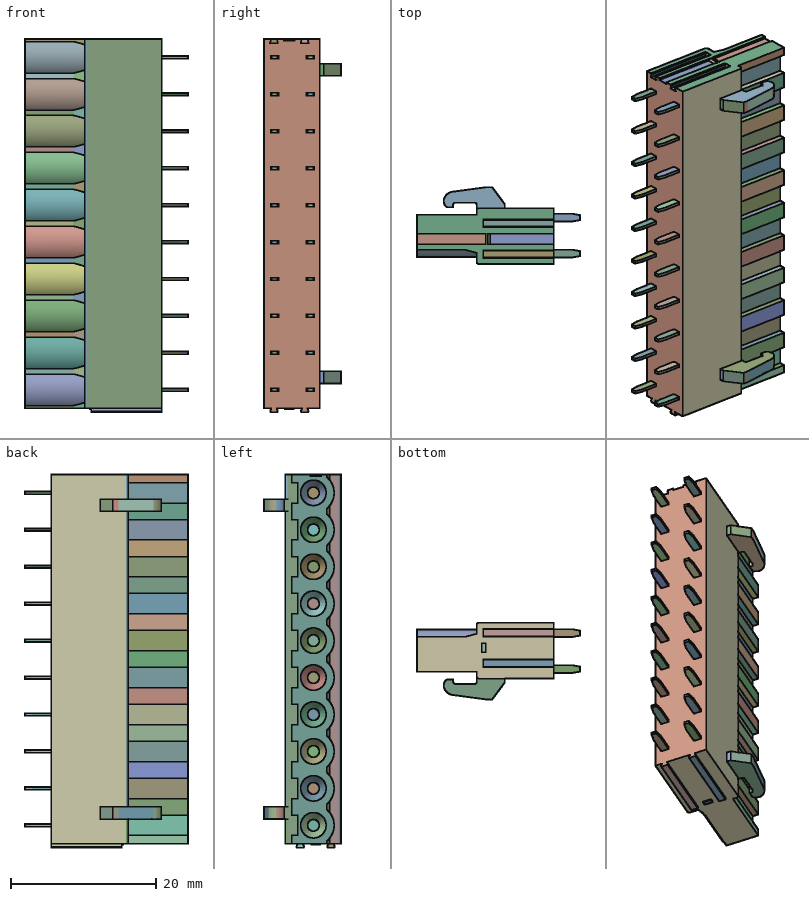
import cadquery as cq

POLES = 10
PITCH = 5.08
HEIGHT = POLES * PITCH

BLOCK_START_X = 8.2
BLOCK_END_X = 18.85
BLOCK_DEPTH = 7.7
BLOCK_CORNER_RADIUS = 0.35

SLAB_TOP_Y = 6.8
WEB_Y = 1.95
WEB_RAMP_START_X = 6.7
WEB_RAMP_END_Y = 1.55
BARREL_Y = 3.8
BARREL_RADIUS = 2.85
SOCKET_MOUTH_DIAMETER = 3.5
SOCKET_END_DIAMETER = 1.6
SOCKET_DEPTH = 2.8

NOTCH_HEIGHT = 2.8
NOTCH_FLOOR_Y = 5.97

PIN_ROWS_Y = (1.45, 6.4)
PIN_WIDTH = 1.1
PIN_THICKNESS = 0.4
PIN_END_X = 22.45
PIN_TIP_LENGTH = 1.05
PIN_TIP_WIDTH = 0.7
PIN_ROOT_EMBED = 1.0

DOVETAIL_ROWS_Y = (1.38, 5.6)
DOVETAIL_START_X = 9.1
RIB_HEIGHT = 0.55
RIB_NECK_WIDTH = 0.75
RIB_WIDTH = 1.08
RIB_FOOT_WIDTH = 0.95
RIB_WIDEST_DEPTH = 0.38
GROOVE_DEPTH = 0.6
GROOVE_WIDTH = 1.1
GROOVE_THROAT_WIDTH = 0.85
GROOVE_THROAT_DEPTH = 0.15

CHANNEL_Y = 3.45
CHANNEL_WIDTH = 1.5
CHANNEL_DEPTH = 0.27
RIDGE_START_X = 9.46
RIDGE_FLAT_END_X = 9.75
RIDGE_END_X = 10.08
BUMP_START_X = 8.92
BUMP_END_X = RIDGE_START_X
BUMP_WIDTH = 1.24
BUMP_HEIGHT = 0.15

HOOK_THICKNESS = 1.7
HOOK_END_OFFSET = 4.25
HOOK_TOP_Y = 10.6
HOOK_ROOT_X = BLOCK_START_X
HOOK_BACK_X = 12.1
HOOK_BACK_TOP_Y = 8.25
HOOK_UNDERSIDE_Y = 8.43
HOOK_INNER_RADIUS = 0.2
CREST_START_X = 9.6
CREST_END_X = 10.35
NOSE_FRONT_X = 3.7
NOSE_BACK_X = 5.0
NOSE_BACK_RADIUS = 0.3
NOSE_LOW_Y = 7.8
NOSE_LOW_X = 4.15
NOSE_LOW_RADIUS = 1.05
NOSE_FRONT_Y = 8.95
NOSE_TOP_X = 4.75
NOSE_TOP_Y = 9.95
NOSE_TOP_RADIUS = 1.6

POLE_CENTRES_Z = [PITCH * (i + 0.5) for i in range(POLES)]


def box(x0, x1, y0, y1, z0, z1):
    """Axis-aligned box between two corners."""
    return cq.Workplane("XY").box(x1 - x0, y1 - y0, z1 - z0, centered=False).translate((x0, y0, z0))


def rear_block():
    block = box(BLOCK_START_X, BLOCK_END_X, 0, BLOCK_DEPTH, 0, HEIGHT)
    return block.edges("<X and |Z").fillet(BLOCK_CORNER_RADIUS)


def plug_front():
    slab = (
        cq.Workplane("XY")
        .moveTo(0, SLAB_TOP_Y)
        .lineTo(0, WEB_Y)
        .lineTo(WEB_RAMP_START_X, WEB_Y)
        .lineTo(BLOCK_START_X, WEB_RAMP_END_Y)
        .lineTo(BLOCK_START_X, SLAB_TOP_Y)
        .close()
        .extrude(HEIGHT)
    )
    barrels = (
        cq.Workplane("YZ")
        .pushPoints([(BARREL_Y, z) for z in POLE_CENTRES_Z])
        .circle(BARREL_RADIUS)
        .extrude(BLOCK_START_X)
    )
    envelope = box(0, BLOCK_START_X, 0, SLAB_TOP_Y, 0, HEIGHT)
    return slab.union(barrels.intersect(envelope))


def socket(z):
    """Tapered socket narrowing from the plug face to a flat end."""
    cone = cq.Solid.makeCone(
        SOCKET_MOUTH_DIAMETER / 2,
        SOCKET_END_DIAMETER / 2,
        SOCKET_DEPTH,
        cq.Vector(0, BARREL_Y, z),
        cq.Vector(1, 0, 0),
    )
    return cq.Workplane(cone)


def coding_notch(z):
    return box(0, BLOCK_START_X, NOTCH_FLOOR_Y, SLAB_TOP_Y, z - NOTCH_HEIGHT / 2, z + NOTCH_HEIGHT / 2)


def pin(y, z):
    """Flat pin with a tapered tip."""
    taper_x = PIN_END_X - PIN_TIP_LENGTH
    return (
        cq.Workplane("XY", origin=(0, y, z - PIN_THICKNESS / 2))
        .moveTo(BLOCK_END_X - PIN_ROOT_EMBED, -PIN_WIDTH / 2)
        .lineTo(taper_x, -PIN_WIDTH / 2)
        .lineTo(PIN_END_X, -PIN_TIP_WIDTH / 2)
        .lineTo(PIN_END_X, PIN_TIP_WIDTH / 2)
        .lineTo(taper_x, PIN_WIDTH / 2)
        .lineTo(BLOCK_END_X - PIN_ROOT_EMBED, PIN_WIDTH / 2)
        .close()
        .extrude(PIN_THICKNESS)
    )


def dovetail_prism(y, base_z, levels):
    """Prism along X, symmetric about y; levels lists (width, depth below base_z) from the top down."""
    right_side = [(width / 2, -depth) for width, depth in levels]
    left_side = [(-half_width, z) for half_width, z in reversed(right_side)]
    return (
        cq.Workplane("YZ", origin=(DOVETAIL_START_X, y, base_z))
        .polyline(right_side + left_side)
        .close()
        .extrude(BLOCK_END_X - DOVETAIL_START_X)
    )


def dovetail_rib(y):
    """Rib below the block: narrow neck, wider body, slightly narrowed foot."""
    levels = [(RIB_NECK_WIDTH, 0), (RIB_WIDTH, RIB_WIDEST_DEPTH), (RIB_FOOT_WIDTH, RIB_HEIGHT)]
    return dovetail_prism(y, 0, levels)


def top_groove(y):
    """Undercut groove in the top: flared mouth, narrower throat, wide floor."""
    levels = [(GROOVE_WIDTH, 0), (GROOVE_THROAT_WIDTH, GROOVE_THROAT_DEPTH), (GROOVE_WIDTH, GROOVE_DEPTH)]
    return dovetail_prism(y, HEIGHT, levels)


def top_channel():
    return box(
        0, BLOCK_END_X,
        CHANNEL_Y - CHANNEL_WIDTH / 2, CHANNEL_Y + CHANNEL_WIDTH / 2,
        HEIGHT - CHANNEL_DEPTH, HEIGHT,
    )


def snap_ridge():
    """Ridge across the channel: upright on its -X side, ramped down on its +X side."""
    floor_z = HEIGHT - CHANNEL_DEPTH
    return (
        cq.Workplane("XZ", origin=(0, CHANNEL_Y + CHANNEL_WIDTH / 2, 0))
        .moveTo(RIDGE_START_X, floor_z)
        .lineTo(RIDGE_START_X, HEIGHT)
        .lineTo(RIDGE_FLAT_END_X, HEIGHT)
        .lineTo(RIDGE_END_X, floor_z)
        .close()
        .extrude(CHANNEL_WIDTH)
    )


def snap_bump():
    return box(
        BUMP_START_X, BUMP_END_X,
        CHANNEL_Y - BUMP_WIDTH / 2, CHANNEL_Y + BUMP_WIDTH / 2,
        -BUMP_HEIGHT, 0,
    )


def latch_hook(z):
    """Hook standing on the +Y side, its nose reaching forward and curling towards the plug."""
    return (
        cq.Workplane("XY", origin=(0, 0, z - HOOK_THICKNESS / 2))
        .moveTo(HOOK_ROOT_X, SLAB_TOP_Y)
        .lineTo(HOOK_ROOT_X, HOOK_UNDERSIDE_Y - HOOK_INNER_RADIUS)
        .radiusArc((HOOK_ROOT_X - HOOK_INNER_RADIUS, HOOK_UNDERSIDE_Y), -HOOK_INNER_RADIUS)
        .lineTo(NOSE_BACK_X + NOSE_BACK_RADIUS, HOOK_UNDERSIDE_Y)
        .radiusArc((NOSE_BACK_X, HOOK_UNDERSIDE_Y - NOSE_BACK_RADIUS), -NOSE_BACK_RADIUS)
        .lineTo(NOSE_BACK_X, NOSE_LOW_Y)
        .lineTo(NOSE_LOW_X, NOSE_LOW_Y)
        .radiusArc((NOSE_FRONT_X, NOSE_FRONT_Y), NOSE_LOW_RADIUS)
        .radiusArc((NOSE_TOP_X, NOSE_TOP_Y), NOSE_TOP_RADIUS)
        .lineTo(CREST_START_X, HOOK_TOP_Y)
        .lineTo(CREST_END_X, HOOK_TOP_Y)
        .lineTo(HOOK_BACK_X, HOOK_BACK_TOP_Y)
        .lineTo(HOOK_BACK_X, SLAB_TOP_Y)
        .close()
        .extrude(HOOK_THICKNESS)
    )


result = rear_block().union(plug_front())
for z in POLE_CENTRES_Z:
    result = result.cut(socket(z)).cut(coding_notch(z))
    for y in PIN_ROWS_Y:
        result = result.union(pin(y, z))
result = result.cut(top_channel())
for y in DOVETAIL_ROWS_Y:
    result = result.cut(top_groove(y)).union(dovetail_rib(y))
result = result.union(snap_ridge()).union(snap_bump())
for z in (HOOK_END_OFFSET, HEIGHT - HOOK_END_OFFSET):
    result = result.union(latch_hook(z))